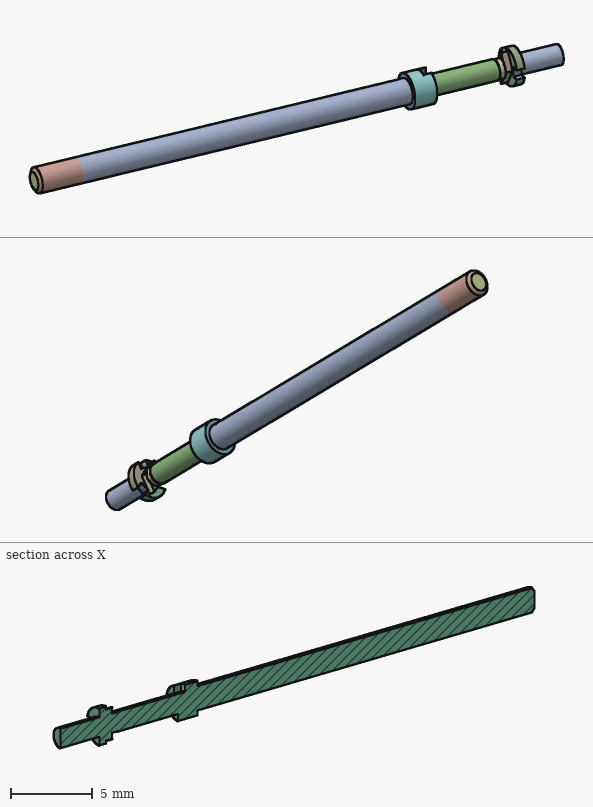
import cadquery as cq
import math

TOTAL_LENGTH = 36.0
TAIL_Y = TOTAL_LENGTH / 2
TIP_Y = -TAIL_Y

FLANGE_START = 2.95
FLANGE_END = 3.5
KEY_END = 3.95
NECK_END = 4.35
COLLAR_START = 8.93
COLLAR_END = 10.45

TAIL_DIAMETER = 1.35
NECK_DIAMETER = 1.3
SHAFT_DIAMETER = 1.35
COLLAR_DIAMETER = 2.3
BARREL_DIAMETER = 1.65
FLANGE_DIAMETER = 2.5

PLUG_LENGTH = 2.95
TIP_BEVEL_RADIAL = 0.25
TIP_BEVEL_AXIAL = 0.18

SLOT_ANGLES = (0, 120, 240)
SLOT_WIDTH = 0.65
SLOT_FLOOR_RADIUS = 0.75

KEY_HALF_HEIGHT = 1.08
KEY_HALF_WIDTH = KEY_HALF_HEIGHT * math.tan(math.radians(30))

COLLAR_NOTCH_WIDTH = 0.75
COLLAR_NOTCH_LENGTH = 0.55


def section_plane(start):
    """XZ plane at a distance from the tail; extrusions run towards the tip."""
    return cq.Workplane("XZ", origin=(0, TAIL_Y - start, 0))


def rod(start, end, diameter):
    """Round length of the pin between two distances from the tail."""
    return section_plane(start).circle(diameter / 2).extrude(end - start)


def slotted_flange():
    thickness = FLANGE_END - FLANGE_START
    flange = rod(FLANGE_START, FLANGE_END, FLANGE_DIAMETER)
    slot_depth = FLANGE_DIAMETER / 2
    for angle in SLOT_ANGLES:
        slot = (
            section_plane(FLANGE_START)
            .center(SLOT_FLOOR_RADIUS + slot_depth / 2, 0)
            .rect(slot_depth, SLOT_WIDTH)
            .extrude(thickness)
            .rotate((0, 0, 0), (0, -1, 0), angle)
        )
        flange = flange.cut(slot)
    return flange


def diamond_key():
    return (
        section_plane(FLANGE_END)
        .polyline([
            (-KEY_HALF_WIDTH, 0),
            (0, KEY_HALF_HEIGHT),
            (KEY_HALF_WIDTH, 0),
            (0, -KEY_HALF_HEIGHT),
        ])
        .close()
        .extrude(KEY_END - FLANGE_END)
    )


def notched_collar():
    notch = (
        section_plane(COLLAR_START)
        .center(0, COLLAR_DIAMETER / 2)
        .rect(COLLAR_NOTCH_WIDTH, COLLAR_DIAMETER)
        .extrude(COLLAR_NOTCH_LENGTH)
    )
    return rod(COLLAR_START, COLLAR_END, COLLAR_DIAMETER).cut(notch)


def tip_plug():
    radius = BARREL_DIAMETER / 2
    return (
        cq.Workplane("XY")
        .polyline([
            (0, TIP_Y),
            (radius - TIP_BEVEL_RADIAL, TIP_Y),
            (radius, TIP_Y + TIP_BEVEL_AXIAL),
            (radius, TIP_Y + PLUG_LENGTH),
            (0, TIP_Y + PLUG_LENGTH),
        ])
        .close()
        .revolve(360, (0, 0, 0), (0, 1, 0))
    )


result = (
    rod(0, FLANGE_END, TAIL_DIAMETER)
    .union(slotted_flange())
    .union(rod(KEY_END, NECK_END, NECK_DIAMETER))
    .union(diamond_key())
    .union(rod(NECK_END, COLLAR_END, SHAFT_DIAMETER))
    .union(notched_collar())
    .union(rod(COLLAR_END, TOTAL_LENGTH - PLUG_LENGTH, BARREL_DIAMETER))
    .union(tip_plug())
)